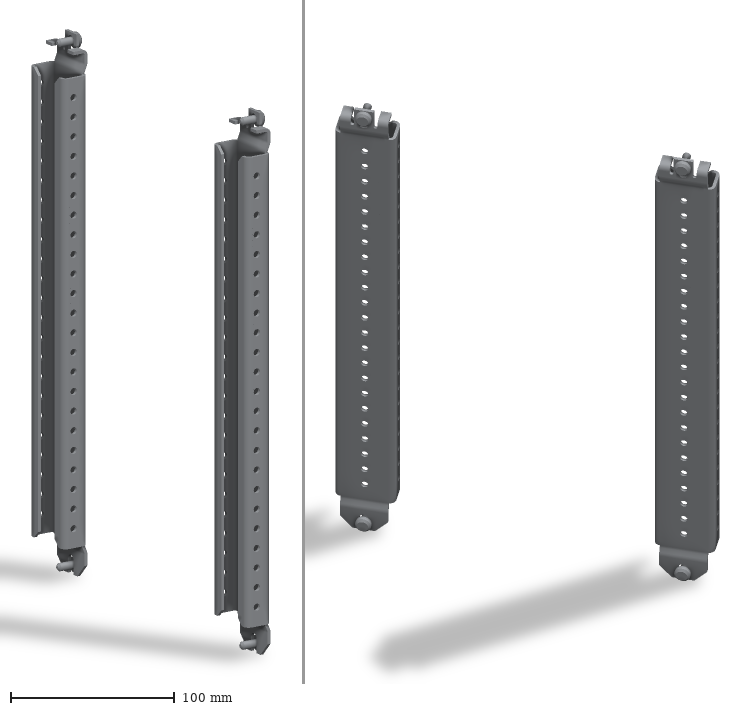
import cadquery as cq
import math

overall_height = 345.5
rail_height = 300.0
rail_spacing = 200.0
rail_width = 38.0
rail_depth = 18.0
sheet = 2.0
tab_width = 30.0
lip_reach = 10.0
lip_bevel = 4.5

hole_diameter = 4.5
hole_count = 23
hole_span = 275.0
side_hole_inset = 10.7

joggle_angle = 23
joggle_radius = 3.5

slot_width = 6.0
top_slot_margin = 2.0
top_slot_length = 12.0
bottom_slot_depth = 12.0

tongue_width = 12.0
ear_width = 6.5
ear_drop = 7.5
ear_reach = 8.3
ear_radius = 1.5
relief_depth = 13.0

bottom_bevel_x = 8.0
bottom_bevel_z = 8.5

screw_inset = 5.5
head_diameter = 10.0
head_height = 3.8
head_chamfer = 1.5
shank_radius = 2.55
shank_reach = 10.0
shank_chamfer = 1.5

half_height = overall_height / 2
rail_end = rail_height / 2
corner_radius = (rail_width - tab_width) / 2
hole_pitch = hole_span / (hole_count - 1)
hole_heights = [i * hole_pitch - hole_span / 2 for i in range(hole_count)]
tab_front = 0.0
tab_back = tab_front + sheet
ear_top = half_height - ear_drop
ear_bend_bottom = ear_top - sheet - ear_radius
screw_height = half_height - screw_inset


def box(x_size, y_min, y_max, z_min, z_max, x_center=0.0):
    """Block centred on x_center in X, between the given limits in Y and Z."""
    center = (x_center, (y_min + y_max) / 2, (z_min + z_max) / 2)
    return cq.Workplane("XY").box(x_size, y_max - y_min, z_max - z_min).translate(center)


def rod_along_y(diameter, y_min, y_max, height):
    """Cylinder along Y on the rail centreline."""
    plane = cq.Workplane("XZ", origin=(0, y_max, height))
    return plane.circle(diameter / 2).extrude(y_max - y_min)


def channel():
    """C-section with rounded corners and bevelled lip ends, open towards -Y."""
    outer = box(rail_width, -rail_depth, 0, -rail_end, rail_end)
    outer = outer.edges("|Z").fillet(corner_radius)
    inner = box(rail_width - 2 * sheet, -rail_depth + sheet, -sheet, -rail_end, rail_end)
    inner = inner.edges("|Z").fillet(corner_radius - sheet)
    lip_gap = rail_width - 2 * lip_reach
    mouth = box(lip_gap, -rail_depth, -rail_depth / 2, -rail_end, rail_end)
    body = outer.cut(inner).cut(mouth)
    for end in (-1, 1):
        bevel = (
            cq.Workplane("XZ", origin=(0, -rail_depth + sheet, 0))
            .moveTo(-lip_gap / 2 - lip_bevel, end * rail_end)
            .lineTo(lip_gap / 2 + lip_bevel, end * rail_end)
            .lineTo(lip_gap / 2, end * (rail_end - lip_bevel))
            .lineTo(-lip_gap / 2, end * (rail_end - lip_bevel))
            .close()
            .extrude(sheet)
        )
        body = body.cut(bevel)
    return body


def drill_holes(body):
    """Row of holes through the back, and a matching row through both sides."""
    back_points = [(0, z) for z in hole_heights]
    side_points = [(-side_hole_inset, z) for z in hole_heights]
    back_row = cq.Workplane("XZ").pushPoints(back_points).circle(hole_diameter / 2).extrude(sheet)
    side_row = cq.Workplane("YZ").pushPoints(side_points).circle(hole_diameter / 2)
    return body.cut(back_row).cut(side_row.extrude(rail_width / 2, both=True))


def joggled_tab():
    """Sheet as wide as the flat back, carried on above the channel back and set back by one thickness."""
    angle = math.radians(joggle_angle)
    middle_radius = joggle_radius + sheet / 2
    slant = (sheet - 2 * middle_radius * (1 - math.cos(angle))) / math.sin(angle)
    joggle_rise = 2 * middle_radius * math.sin(angle) + slant * math.cos(angle)
    joggle_end = rail_end + joggle_rise

    def lower_bend(radius, turn):
        """Point on the first bend, centred behind the sheet at the channel end."""
        return (joggle_radius - radius * math.cos(turn), rail_end + radius * math.sin(turn))

    def upper_bend(radius, turn):
        """Same point on the second bend: the first one turned by half a turn."""
        y, z = lower_bend(radius, turn)
        return (-y, rail_end + joggle_end - z)

    inside = joggle_radius
    outside = joggle_radius + sheet
    profile = (
        cq.Workplane("YZ")
        .moveTo(0, rail_end)
        .threePointArc(lower_bend(inside, angle / 2), lower_bend(inside, angle))
        .lineTo(*upper_bend(outside, angle))
        .threePointArc(upper_bend(outside, angle / 2), (tab_back, joggle_end))
        .lineTo(tab_back, half_height)
        .lineTo(tab_front, half_height)
        .lineTo(tab_front, joggle_end)
        .threePointArc(upper_bend(inside, angle / 2), upper_bend(inside, angle))
        .lineTo(*lower_bend(outside, angle))
        .threePointArc(lower_bend(outside, angle / 2), (-sheet, rail_end))
        .close()
    )
    return profile.extrude(tab_width / 2, both=True)


def open_slot(width, depth, x=0.0):
    """Cutter for a slot that runs down from the tab end to a round bottom."""
    arc_height = half_height - depth + width / 2
    straight = box(width, tab_front, tab_back, arc_height, half_height, x)
    return straight.union(rod_along_y(width, tab_front, tab_back, arc_height).translate((x, 0, 0)))


def ear(x):
    """Strip that rises from the tab and bends forwards through a right angle."""
    bend_y = tab_front - ear_radius
    tip_y = tab_front - ear_reach
    profile = (
        cq.Workplane("YZ", origin=(x, 0, 0))
        .moveTo(tip_y, ear_top)
        .lineTo(bend_y, ear_top)
        .radiusArc((tab_back, ear_bend_bottom), ear_radius + sheet)
        .lineTo(tab_front, ear_bend_bottom)
        .radiusArc((bend_y, ear_top - sheet), -ear_radius)
        .lineTo(tip_y, ear_top - sheet)
        .close()
    )
    return profile.extrude(ear_width / 2, both=True)


def top_tab():
    """Upper tab: slotted central tongue between two ears folded forwards."""
    tab = joggled_tab()
    relief_width = (tab_width - tongue_width) / 2 - ear_width
    for side in (-1, 1):
        ear_x = side * (tab_width - ear_width) / 2
        relief_x = side * (tongue_width + relief_width) / 2
        tab = tab.cut(box(ear_width, tab_front, tab_back, ear_bend_bottom, half_height, ear_x))
        tab = tab.union(ear(ear_x))
        tab = tab.cut(open_slot(relief_width, relief_depth, relief_x))
    slot_center = half_height - top_slot_margin - top_slot_length / 2
    slot = (
        cq.Workplane("XZ", origin=(0, tab_back, slot_center))
        .slot2D(top_slot_length, slot_width, 90)
        .extrude(sheet)
    )
    return tab.cut(slot)


def bottom_tab():
    """Lower tab: bevelled corners and a slot open at the end, shaped upright and then turned over."""
    tab = joggled_tab().cut(open_slot(slot_width, bottom_slot_depth))
    for side in (-1, 1):
        corner_x = side * tab_width / 2
        bevel = (
            cq.Workplane("XZ", origin=(0, tab_back, 0))
            .moveTo(corner_x, half_height)
            .lineTo(corner_x, half_height - bottom_bevel_z)
            .lineTo(corner_x - side * bottom_bevel_x, half_height)
            .close()
            .extrude(sheet)
        )
        tab = tab.cut(bevel)
    return tab.mirror("XY")


def rail():
    """One perforated channel with its two end tabs, bent from a single sheet."""
    return drill_holes(channel()).union(top_tab()).union(bottom_tab())


def screw(height):
    """Round-headed screw from behind a tab, its shank passing through the slot."""
    head = rod_along_y(head_diameter, tab_back, tab_back + head_height, height)
    head = head.faces(">Y").chamfer(head_chamfer)
    shank = rod_along_y(2 * shank_radius, tab_front - shank_reach, tab_back, height)
    shank = shank.faces("<Y").chamfer(shank_chamfer)
    return head.union(shank)


bodies = []
for x in (-rail_spacing / 2, rail_spacing / 2):
    bodies.append(rail().translate((x, 0, 0)).val())
    for z in (screw_height, -screw_height):
        bodies.append(screw(z).translate((x, 0, 0)).val())

result = cq.Compound.makeCompound(bodies)